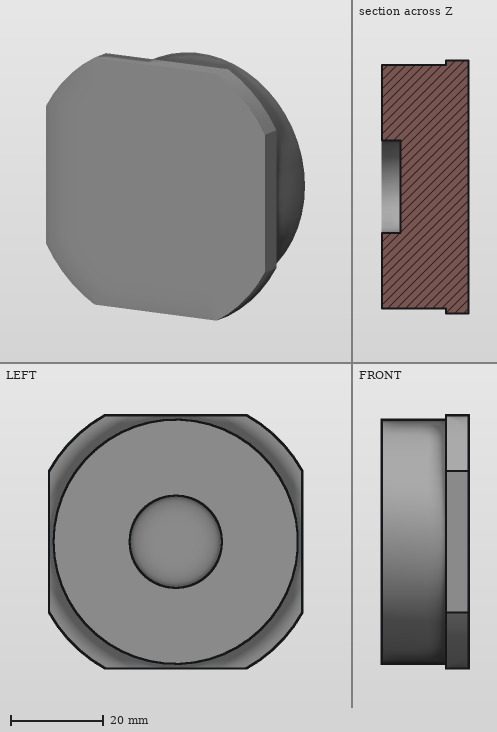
import cadquery as cq

total_length = 19.0
flange_thickness = 5.0
flange_width = 55.0
flange_diameter = 63.0
body_diameter = 53.0
recess_diameter = 20.0
recess_depth = 4.0

body_length = total_length - flange_thickness


def disc(diameter, start_x, length):
    """Round disc on the X axis, growing toward +X."""
    return cq.Workplane("YZ", origin=(start_x, 0, 0)).circle(diameter / 2).extrude(length)


def flange():
    """Round plate trimmed by four flats."""
    square = (
        cq.Workplane("YZ", origin=(body_length, 0, 0))
        .rect(flange_width, flange_width)
        .extrude(flange_thickness)
    )
    return disc(flange_diameter, body_length, flange_thickness).intersect(square)


body = disc(body_diameter, 0, body_length)
recess = disc(recess_diameter, 0, recess_depth)

result = body.union(flange()).cut(recess)